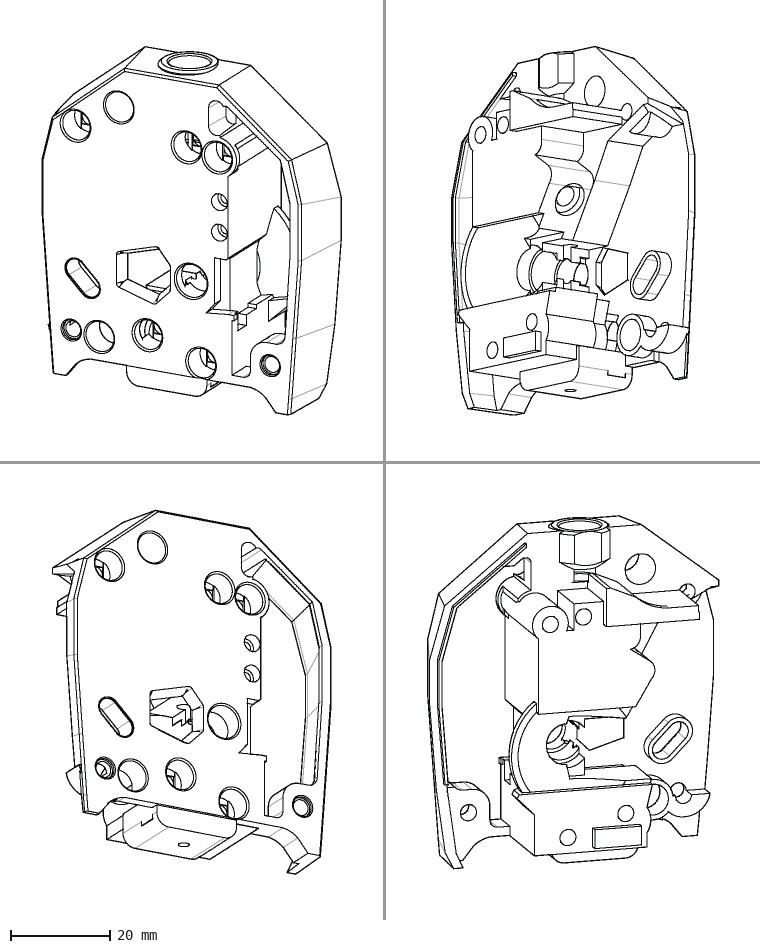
import cadquery as cq
import math


CENTER_X = -1.25
BEVEL_Y = 0.55
PLATE_Y = 2.55
SHELL_Y = 11.8
BODY_Y = 22.95
DISC_Y = 21.5
LATCH_Y = 24.7
FAR = 41.2
HOUSING_X = 11.9
THROAT_X = 10.9
LEG_X = 12.8
LEG_Y = 6.2

FILAMENT_X, FILAMENT_Y = -1.3, 8.25
GEAR_X, GEAR_Z = 3.45, 24.95
WINDOW_BOLT = (9.4, 52.4)
BOLTS = [(-22.95, 53.85), (2.4, 53.45), WINDOW_BOLT, (-6.5, 11.75), (5.7, 7.7)]
LOWER_HOLE = (-17.5, 9.55)
OBLONG_HOLE = (-21.35, 21.4)
OBLONG_CENTERS = 4.75
PLATE_SCREWS = [(-23.9, 9.95), (21.5, 9.9)]

FACE_HALF = [(10.5, 67.3), (26.85, 54.25), (29.1, 45.35), (29.1, 33.3), (27.9, 16.5), (26.9, 3.45), (26.65, 0)]
FRONT_HALF = [(10.8, 67.8), (27.35, 54.55), (29.6, 45.35), (29.6, 33.3), (28.4, 16.5), (27.4, 3.45), (27.1, 0)]
REAR_HALF = [(12.0, 68.7), (29.55, 54.95), (32.7, 43.95), (32.7, 34.7), (31.25, 16.5), (29.4, 3.45), (27.6, 0)]


def at_depth(y):
    """Sketch plane at depth y whose axes are X and Z."""
    return cq.Workplane("XZ", origin=(0, y, 0))


def prism(points, y0, y1):
    return at_depth(y0).polyline(points).close().extrude(y0 - y1)


def rod(x, z, diameter, y0, y1):
    return at_depth(y0).center(x, z).circle(diameter / 2).extrude(y0 - y1)


def cone(x, z, diameter0, diameter1, y0, y1):
    return (
        at_depth(y0).center(x, z).circle(diameter0 / 2)
        .workplane(offset=y0 - y1).circle(diameter1 / 2).loft(ruled=True)
    )


def block(x0, x1, y0, y1, z0, z1):
    return cq.Workplane("XY").box(x1 - x0, y1 - y0, z1 - z0, centered=False).translate((x0, y0, z0))


def countersunk_hole(x, z, diameter, rim, depth):
    """Bore from the front face with a 45 degree chamfer opening to the rim diameter."""
    rim_depth = (rim - diameter) / 2
    return rod(x, z, diameter, 0, depth).union(cone(x, z, rim, diameter, 0, rim_depth))


def outline(half):
    right = [(CENTER_X + w, z) for w, z in half]
    left = [(CENTER_X - w, z) for w, z in reversed(half)]
    return right + left


def drafted(half0, half1, y0, y1):
    return (
        at_depth(y0).polyline(outline(half0)).close()
        .workplane(offset=y0 - y1).polyline(outline(half1)).close().loft(ruled=True)
    )


def bottom_arch():
    arch_z, flat_half, bend_half, bend_z, foot_half = 4.45, 18.2, 21.65, 2.9, 24.0
    mid_half, mid_z = 20.05, 3.9
    return (
        at_depth(-0.7)
        .moveTo(CENTER_X - foot_half, 0)
        .lineTo(CENTER_X - bend_half, bend_z)
        .threePointArc((CENTER_X - mid_half, mid_z), (CENTER_X - flat_half, arch_z))
        .lineTo(CENTER_X + flat_half, arch_z)
        .threePointArc((CENTER_X + mid_half, mid_z), (CENTER_X + bend_half, bend_z))
        .lineTo(CENTER_X + foot_half, 0)
        .lineTo(CENTER_X + foot_half, -0.7)
        .lineTo(CENTER_X - foot_half, -0.7)
        .close().extrude(-FAR)
    )


def shell():
    solid = drafted(FACE_HALF, FRONT_HALF, 0, BEVEL_Y)
    solid = solid.union(drafted(FRONT_HALF, REAR_HALF, BEVEL_Y, SHELL_Y))
    roof_front_z, roof_rear_z = 51.5, 54.6
    opening = (
        cq.Workplane("YZ", origin=(-FAR, 0, 0))
        .polyline([(PLATE_Y, -0.7), (PLATE_Y, roof_front_z), (SHELL_Y, roof_rear_z),
                   (FAR, roof_rear_z), (FAR, -0.7)])
        .close().extrude(FAR + LEG_X)
    )
    trimmed_side_x = -29.6
    side_trim = block(-FAR, trimmed_side_x, PLATE_Y, FAR, roof_front_z - 3.45, 68.7)
    thin_edge_y, thin_edge_x = 1.2, -20.6
    thin_edge = block(-FAR, thin_edge_x, thin_edge_y, FAR, -0.7, PLATE_SCREWS[0][1])
    return solid.cut(opening).cut(side_trim).cut(thin_edge).cut(bottom_arch())


def window():
    opening = (
        at_depth(-0.7)
        .moveTo(LEG_X, 6.4).lineTo(15.4, 6.4)
        .threePointArc((16.5, 6.9), (17.0, 8.05)).lineTo(17.0, 11.0)
        .threePointArc((18.05, 13.6), (20.75, 14.7)).lineTo(22.9, 14.7)
        .threePointArc((24.25, 15.3), (24.9, 16.75)).lineTo(25.95, 33.3)
        .lineTo(25.95, 45.35).lineTo(23.8, 54.25).lineTo(12.0, 63.4)
        .threePointArc((10.85, 63.6), (10.0, 62.5)).lineTo(10.0, 49.1)
        .lineTo(HOUSING_X, 49.1).lineTo(HOUSING_X, 31.25).lineTo(THROAT_X, 30.2).lineTo(THROAT_X, 19.2)
        .lineTo(13.2, 19.2).lineTo(13.2, 18.05).lineTo(LEG_X, 18.05)
        .close().extrude(-FAR)
    )
    return opening.cut(rod(*WINDOW_BOLT, 8.8, -0.7, FAR))


def window_recesses():
    """Shallow shelf at the top of the window and chamfered step beside the gear."""
    top_shelf = at_depth(0).center(9.2, 60.8).slot2D(7.4, 3.6, 90).extrude(-6.9, taper=3)
    step_points = [(8.8, 30.85), (11.9, 30.85), (11.9, 19.2), (6.9, 18.75), (8.8, 20.95)]
    return top_shelf.union(prism(step_points, 0, PLATE_Y))


def inset_half(half, inset_x, inset_z):
    return [(w - inset_x, z - inset_z) for w, z in half[:-1]] + [(half[-1][0] - inset_x, -0.7)]


WALL_X, WALL_Z = 2.35, 0.35


def wall_hollow():
    """Drafted hollow that leaves a wall of even thickness on the right, open at the rear."""
    leg_top_z, flange_y, top_z = 15.45, 1.4, 62.15
    front = inset_half(FRONT_HALF, WALL_X, WALL_Z)
    rear = inset_half(REAR_HALF, WALL_X, WALL_Z)
    hollow = drafted(front, rear, BEVEL_Y, SHELL_Y)
    room = block(LEG_X, FAR, flange_y, FAR, -0.7, top_z)
    return hollow.intersect(room).cut(block(0, FAR, 0, LEG_Y, -0.7, leg_top_z))


def rear_lip():
    """Thin locating lip behind the wall round the window."""
    start_x, lip_height, lip_inset, end_z = 11.3, 0.95, 1.65, 17.85
    lip = prism(outline(inset_half(REAR_HALF, lip_inset, WALL_Z / 2)), SHELL_Y, SHELL_Y + lip_height)
    lip = lip.cut(prism(outline(inset_half(REAR_HALF, WALL_X, WALL_Z)), SHELL_Y, FAR))
    return lip.intersect(block(start_x, FAR, 0, FAR, end_z, 68.7))


UPPER_FACE_TOP = (-13.05, 41.2)
UPPER_FACE_FOOT = (-6.2, 29.9)
CAVITY_X = -0.35
HOUSING_FOOT_Z = 4.4


def upper_housing():
    lower_edge = [UPPER_FACE_TOP, UPPER_FACE_FOOT, (CAVITY_X, UPPER_FACE_FOOT[1]),
                  (HOUSING_X, UPPER_FACE_FOOT[1])]
    front_part = prism([(HOUSING_X, 54.95), (-28.85, 54.95), (-17.2, 48.8)] + lower_edge, PLATE_Y, SHELL_Y)
    rear_part = (
        at_depth(SHELL_Y).moveTo(HOUSING_X, 50.8).lineTo(4.45, 50.8).lineTo(4.45, 56.3)
        .lineTo(-2.05, 56.3).lineTo(-2.05, 52.2).lineTo(-9.6, 52.2).lineTo(-9.6, 48.8)
        .threePointArc((-9.1, 46.85), (-7.55, 45.9)).lineTo(-11.7, 43.15)
        .threePointArc((-12.65, 41.35), (-11.95, 39.4))
        .lineTo(*UPPER_FACE_FOOT).lineTo(HOUSING_X, UPPER_FACE_FOOT[1])
        .close().extrude(SHELL_Y - BODY_Y)
    )
    window_boss = rod(*WINDOW_BOLT, 7.55, 0, BODY_Y)
    corner_boss_y = 8.9
    corner_bolt_boss = rod(*BOLTS[0], 8.2, PLATE_Y, corner_boss_y)
    return front_part.union(rear_part).union(window_boss).union(corner_bolt_boss)


def lower_housing():
    """Stack of three steps, each further to the left than the one before it."""
    steps = [(PLATE_Y, 6.2, -8.25, 15.1), (6.2, 10.45, -9.6, 17.4), (10.45, BODY_Y, -11.0, 18.2)]
    boss_foot_z, boss_top_z, bulge, lean = 7.35, 12.7, 0.8, 1.4
    solid = block(CAVITY_X, THROAT_X, PLATE_Y, BODY_Y, HOUSING_FOOT_Z, UPPER_FACE_FOOT[1])
    for y0, y1, left_x, top_z in steps:
        step = (
            at_depth(y0).moveTo(LEG_X, HOUSING_FOOT_Z).lineTo(LEG_X, top_z).lineTo(left_x - lean, top_z)
            .lineTo(left_x, boss_top_z)
            .threePointArc((left_x - bulge, (boss_foot_z + boss_top_z) / 2), (left_x, boss_foot_z))
            .lineTo(left_x, HOUSING_FOOT_Z).close().extrude(y0 - y1)
        )
        solid = solid.union(step)
    return solid


def gear_guard():
    """Flared guard round the large gear, cut off square on the left and at 45 degrees below."""
    disc_diameter, disc_y = 27.5, 19.7
    neck_diameter, neck_y = 16.5, 14.2
    guard = rod(GEAR_X, GEAR_Z, disc_diameter, disc_y, DISC_Y)
    guard = guard.union(cone(GEAR_X, GEAR_Z, neck_diameter, disc_diameter, neck_y, disc_y))
    corner_pad = prism([(11.7, 17.4), (15.95, 17.4), (16.5, 16.7), (11.7, 11.9)], 15.8, BODY_Y)
    keep = prism([(CAVITY_X, 39.85), (20.6, 39.85), (20.6, 20.8), (11.7, 11.9), (CAVITY_X, 11.9)], 0, FAR)
    slope = (
        cq.Workplane("XY").polyline([(12.8, 15.8), (16.6, 19.7), (16.6, 15.8)])
        .close().extrude(FAR)
    )
    return guard.intersect(keep).union(corner_pad.cut(slope))


def gear_bores():
    flare_y = 14.8
    shaft_bore = countersunk_hole(GEAR_X, GEAR_Z, 7.0, 7.7, FAR)
    gear_room = rod(GEAR_X, GEAR_Z, 8.45, 4.8, 11.0).union(rod(GEAR_X, GEAR_Z, 9.9, 11.0, flare_y))
    flare = cone(GEAR_X, GEAR_Z, 8.5, 24.7, flare_y, DISC_Y)
    rear_opening = block(-FAR, GEAR_X, flare_y, FAR, 18.2, 31.1)
    bearing_seat = block(-2.75, 0.7, PLATE_Y, 4.8, 22.3, 28.15)
    seat_top_z, seat_bottom_z = 33.85, 17.4
    rear_step = block(-FAR, FAR, DISC_Y, FAR, seat_bottom_z, seat_top_z)
    bores = shaft_bore.union(gear_room).union(flare)
    return bores.union(rear_opening).union(bearing_seat).union(rear_step)


def tension_screw_hole():
    """Counterbored hole square to the slanted face above the gear cavity."""
    mid_z, mid_y, seat_depth = 37.1, 16.3, 1.65
    run = UPPER_FACE_FOOT[0] - UPPER_FACE_TOP[0]
    drop = UPPER_FACE_TOP[1] - UPPER_FACE_FOOT[1]
    mid_x = UPPER_FACE_TOP[0] + run * (UPPER_FACE_TOP[1] - mid_z) / drop
    plane = cq.Plane(origin=(mid_x, mid_y, mid_z), xDir=(0, 1, 0), normal=(drop, 0, run))
    seat = cq.Workplane(plane).circle(7.0 / 2).extrude(seat_depth)
    return seat.union(cq.Workplane(plane).circle(4.2 / 2).extrude(8.25))


def hole_collars():
    """Tubes that carry two of the front holes on behind the plate."""
    return oblong(6.0, PLATE_Y, 5.5).union(rod(*LOWER_HOLE, 8.45, PLATE_Y, LEG_Y))


def latch():
    left_x, right_x, foot_z, shelf_z, top_z = -21.5, -1.85, 51.5, 54.4, 59.5
    crest_x, root_y, ramp_foot = -2.8, 8.4, (-8.2, 57.15)
    rear_flat_x, front_flat_x = -15.1, -11.0
    solid = (
        at_depth(root_y).moveTo(left_x, foot_z).lineTo(right_x, foot_z)
        .lineTo(right_x, top_z).lineTo(crest_x, top_z).lineTo(*ramp_foot)
        .threePointArc((-9.15, 55.35), (front_flat_x, shelf_z)).lineTo(left_x, shelf_z)
        .close().extrude(root_y - LATCH_Y)
    )
    rear_ramp = (
        at_depth(BODY_Y).moveTo(rear_flat_x, shelf_z).threePointArc((-11.2, 55.2), ramp_foot)
        .lineTo(ramp_foot[0], shelf_z).close().extrude(BODY_Y - LATCH_Y)
    )
    return solid.union(rear_ramp)


def bottom_tab():
    left_x, right_x, foot_z, rear_y, radius = -11.7, 6.65, 0.2, 14.85, 2.75
    tab = block(left_x, right_x, 0.7, rear_y, foot_z, HOUSING_FOOT_Z + radius)
    tab = tab.edges("|Y and <Z").fillet(radius)
    side_pad = block(left_x, right_x, PLATE_Y, 7.15, 2.05, HOUSING_FOOT_Z)
    rear_nub = block(-9.4, 0.5, BODY_Y, 24.45, 5.35, 9.3)
    return tab.union(side_pad).union(rear_nub)


def corner_boss():
    """Half-round boss behind the left plate screw, flat on top."""
    x, z = PLATE_SCREWS[0]
    front_y, reach, radius = 0.7, 5.6, 4.45
    return (
        at_depth(front_y).moveTo(x - reach, z)
        .threePointArc((x - 3.6, z - 3.4), (x, z - radius))
        .threePointArc((x + radius * math.sqrt(0.5), z - radius * math.sqrt(0.5)), (x + radius, z))
        .close().extrude(front_y - LEG_Y)
    )


INLET_DIAMETER, INLET_MOUTH = 12.8, 11.4
INLET_REAR_Y = 13.95


def vertical_rod(diameter, z0, z1):
    return cq.Workplane("XY", origin=(FILAMENT_X, FILAMENT_Y, z0)).circle(diameter / 2).extrude(z1 - z0)


def vertical_cone(diameter0, diameter1, z0, z1):
    return (
        cq.Workplane("XY", origin=(FILAMENT_X, FILAMENT_Y, z0)).circle(diameter0 / 2)
        .workplane(offset=z1 - z0).circle(diameter1 / 2).loft(ruled=True)
    )


def inlet():
    foot_z, shoulder_z, rim_z = 60.45, 62.15, 68.15
    tube = vertical_rod(INLET_DIAMETER, shoulder_z, rim_z)
    taper = vertical_cone(8.45, INLET_DIAMETER, foot_z, shoulder_z)
    rim = vertical_cone(INLET_DIAMETER, INLET_MOUTH, rim_z, 68.7)
    return tube.union(taper).union(rim).intersect(block(-FAR, FAR, 0, INLET_REAR_Y, 0, 68.7))


def filament_path():
    rim, seat, stop, guide, clear = 9.1, 8.45, 6.0, 2.8, 2.2
    path = vertical_cone(seat, rim, 68.35, 68.7)
    path = path.union(vertical_rod(seat, 57.7, 68.7)).union(vertical_rod(stop, 50.8, 57.7))
    path = path.union(vertical_rod(guide, 20.55, 50.8))
    return path.union(vertical_rod(clear, -0.7, 20.55))


def bolt_hole(x, z):
    """Counterbore whose floor steps through a slot and a square down to the bolt hole."""
    head, rim, shank, depth, layer = 6.25, 7.0, 3.4, 5.5, 0.3
    slot = at_depth(depth).center(x, z).rect(shank, head).extrude(-layer)
    slot = slot.intersect(rod(x, z, head, depth, depth + layer))
    square = at_depth(depth).center(x, z).rect(shank, shank).extrude(-2 * layer)
    hole = countersunk_hole(x, z, head, rim, depth)
    return hole.union(slot).union(square).union(rod(x, z, shank, depth, FAR))


def plate_screw_hole(x, z):
    head_depth = 0.8
    return countersunk_hole(x, z, 4.2, 4.7, head_depth).union(rod(x, z, 3.4, head_depth, FAR))


def small_screw_hole(x, z):
    """Blind hole with a counterbore."""
    head_depth, depth = 2.75, 6.9
    return rod(x, z, 3.6, 0, head_depth).union(rod(x, z, 2.2, 0, depth))


def oblong(width, y0, y1):
    return at_depth(y0).center(*OBLONG_HOLE).slot2D(OBLONG_CENTERS + width, width, -45).extrude(y0 - y1)


def inspection_hole():
    """Rounded polygon that narrows through the plate, then runs straight out at the rear."""
    corners = [(-13.6, 28.45), (-4.3, 31.1), (-1.3, 27.5), (-1.3, 22.0), (-4.8, 18.55), (-13.6, 21.1)]
    narrowing, corner_radius = 1.25, 0.8
    draft = math.degrees(math.atan(narrowing / PLATE_Y))
    mouth = cq.Sketch().polygon(corners + corners[:1]).vertices().fillet(corner_radius)
    funnel = at_depth(0).placeSketch(mouth).extrude(-PLATE_Y, taper=draft)
    straight = at_depth(0).polyline(corners).close().offset2D(-narrowing).extrude(-FAR)
    return funnel.union(straight)


def front_holes():
    oblong_rim_depth = 0.3
    holes = oblong(4.2, 0, FAR).union(oblong(4.7, 0, oblong_rim_depth)).union(inspection_hole())
    for x, z in BOLTS:
        holes = holes.union(bolt_hole(x, z))
    for x, z in PLATE_SCREWS:
        holes = holes.union(plate_screw_hole(x, z))
    for x, z in [(-13.05, 59.4), LOWER_HOLE]:
        holes = holes.union(countersunk_hole(x, z, 6.4, 7.0, FAR))
    for z in (36.4, 42.9):
        holes = holes.union(small_screw_hole(9.9, z))
    return holes


housing = upper_housing().union(lower_housing())
result = shell().cut(wall_hollow()).union(housing).cut(window())
result = result.union(gear_guard()).cut(gear_bores()).cut(window_recesses())
result = result.union(latch()).union(inlet()).union(rear_lip())
result = result.union(bottom_tab()).union(corner_boss()).union(hole_collars())
result = result.cut(front_holes()).cut(filament_path()).cut(tension_screw_hole())